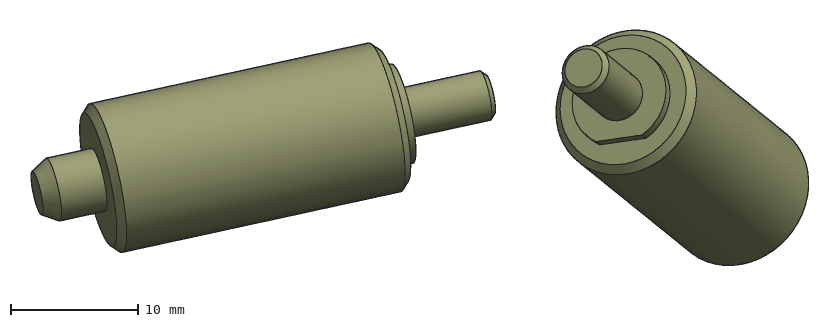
import cadquery as cq

total_length = 37.0
body_diameter = 12.0
body_length = 24.02
body_chamfer = 0.63

nose_diameter = 5.07
nose_length = 5.0
nose_tip_diameter = 3.5
nose_taper_length = 1.3

collar_diameter = 8.0
collar_thickness = 0.8
collar_flat_distance = 3.48

stem_diameter = 4.0
stem_chamfer = 0.4

body_back = body_length
collar_back = body_back + collar_thickness
stem_end = total_length - nose_length
stem_length = stem_end - collar_back


def cylinder_along_y(diameter, start, length):
    """Cylinder around the Y axis, from Y = start towards +Y."""
    base = cq.Workplane("XZ", origin=(0, start, 0))
    return base.circle(diameter / 2).extrude(-length)


def make_body():
    """Main barrel with both rims chamfered."""
    return cylinder_along_y(body_diameter, 0, body_length).edges().chamfer(body_chamfer)


def make_nose():
    """Front pin ending in a short, blunt cone."""
    taper_depth = (nose_diameter - nose_tip_diameter) / 2
    pin = cylinder_along_y(nose_diameter, -nose_length, nose_length)
    return pin.faces("<Y").chamfer(nose_taper_length, taper_depth)


def make_collar():
    """Thin disc behind the body, with one flat on its underside."""
    disc = cylinder_along_y(collar_diameter, body_back, collar_thickness)
    corner = (-collar_diameter / 2, body_back, -collar_flat_distance - collar_diameter)
    below_flat = cq.Workplane("XY", origin=corner).box(
        collar_diameter, collar_thickness, collar_diameter, centered=False
    )
    return disc.cut(below_flat)


def make_stem():
    """Slim rear pin with a chamfered end."""
    return cylinder_along_y(stem_diameter, collar_back, stem_length).faces(">Y").chamfer(stem_chamfer)


result = make_body().union(make_nose()).union(make_collar()).union(make_stem())